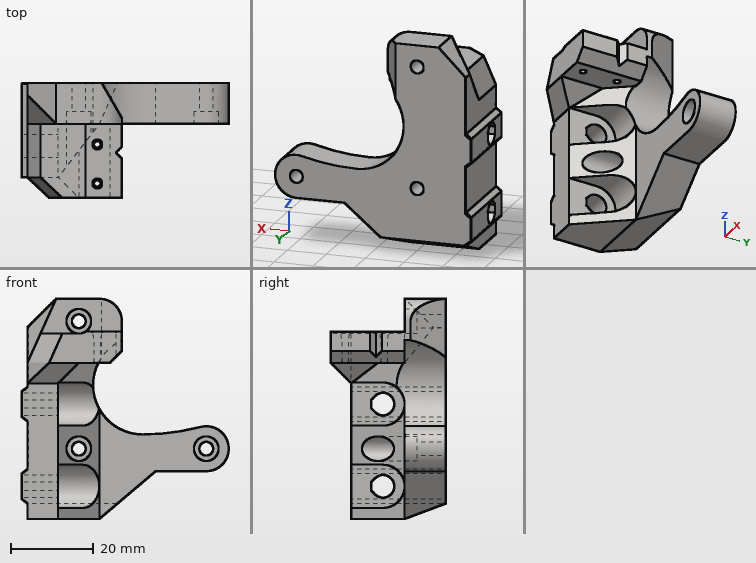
import cadquery as cq
import math


HOLE_PITCH = 31.0
MOUNT_HOLES = [(0, 0), (HOLE_PITCH, 0), (0, HOLE_PITCH)]
MOUNT_HOLE_DIA = 3.3
COUNTERBORE_DIA = 6.0
COUNTERBORE_DEPTH = 3.0
PLATE_THICKNESS = 10.0
LUG_RADIUS = 5.5
OPENING_RADIUS = 12.0
OPENING_CENTER = HOLE_PITCH / 2
BOTTOM_Z = -17.1
LEFT_X = -12.5
TOP_Z = HOLE_PITCH + LUG_RADIUS
TOP_RIGHT_X = 10.5
CORNER_CHAMFER = 7.0
BRACE_RIGHT_X = 5.0
ARM_BOTTOM_X = 18.7
BACK_CORNER_CUT_X = 5.55
BACK_CORNER_CUT_ANGLE = 30.0

COLUMN_RIGHT_X = -5.0
COLUMN_FRONT_Y = -23.0
RAIL_HEIGHT = 1.4
RAIL_BASE_HALF = 4.2
RAIL_TOP_HALF = 3.1
RAIL_PITCH = 20.0
UPPER_RAIL_Z = 10.85
RAIL_CENTERS = [UPPER_RAIL_Z, UPPER_RAIL_Z - RAIL_PITCH]
BACK_EDGE_CHAMFER = 0.25

BOLT_Y = -15.28
BOLT_DIA = 5.45
BOLT_ROOF_HEIGHT = 2.85
HEAD_DIA = 10.5

SHELF_FRONT_Y = -28.0
SHELF_BOTTOM_Z = 20.9
SHELF_LEFT_TOP_Z = HOLE_PITCH - COUNTERBORE_DIA / 2
SHELF_RIGHT_TOP_Z = 28.5
SHELF_END_CHAMFER = 2.9
SHELF_CORNER_X = -7.2
NOTCH_Y = -17.0
NOTCH_DEPTH = 1.45
SCREW_X = 4.5
SCREW_YS = [-15.0, -24.5]
SCREW_TOP_DIA = 2.4
SCREW_PILOT_DIA = 1.6
SCREW_TAPER_DEPTH = 2.0

OVERCUT = 1.0


def extrude_xz(outline, y_back, y_front):
    """Extrude a closed XZ outline from y_back to y_front (y_front is the smaller)."""
    return outline.extrude(y_back - y_front).translate((0, y_back, 0))


def plate():
    rise = OPENING_CENTER - OPENING_RADIUS
    run = HOLE_PITCH - OPENING_CENTER
    arm_radius = (run**2 + rise**2 - LUG_RADIUS**2) / (2 * (LUG_RADIUS - rise))
    arm_center_z = rise + arm_radius
    lean = math.atan2(run, arm_center_z)

    def on_arm(angle):
        return (OPENING_CENTER + arm_radius * math.sin(angle), arm_center_z - arm_radius * math.cos(angle))

    outline = (
        cq.Workplane("XZ")
        .moveTo(LEFT_X, BOTTOM_Z)
        .lineTo(BRACE_RIGHT_X, BOTTOM_Z)
        .lineTo(ARM_BOTTOM_X, -LUG_RADIUS)
        .lineTo(HOLE_PITCH, -LUG_RADIUS)
        .threePointArc((HOLE_PITCH + LUG_RADIUS, 0), on_arm(lean))
        .threePointArc(on_arm(lean / 2), on_arm(0))
        .lineTo(OPENING_CENTER, OPENING_CENTER)
        .lineTo(TOP_RIGHT_X, OPENING_CENTER)
        .lineTo(TOP_RIGHT_X, HOLE_PITCH)
        .radiusArc((TOP_RIGHT_X - LUG_RADIUS, TOP_Z), -LUG_RADIUS)
        .lineTo(LEFT_X + CORNER_CHAMFER, TOP_Z)
        .lineTo(LEFT_X, TOP_Z - CORNER_CHAMFER)
        .close()
    )
    return extrude_xz(outline, 0, -PLATE_THICKNESS)


def column():
    """Upright block with two trapezoidal rails on its left face."""
    body = cq.Workplane("XZ").moveTo(COLUMN_RIGHT_X, BOTTOM_Z).lineTo(LEFT_X, BOTTOM_Z)
    for z in reversed(RAIL_CENTERS):
        body = (
            body.lineTo(LEFT_X, z - RAIL_BASE_HALF)
            .lineTo(LEFT_X - RAIL_HEIGHT, z - RAIL_TOP_HALF)
            .lineTo(LEFT_X - RAIL_HEIGHT, z + RAIL_TOP_HALF)
            .lineTo(LEFT_X, z + RAIL_BASE_HALF)
        )
    body = body.lineTo(LEFT_X, SHELF_BOTTOM_Z).lineTo(COLUMN_RIGHT_X, SHELF_BOTTOM_Z).close()
    return extrude_xz(body, 0, COLUMN_FRONT_Y)


def corner_chamfer_profile(x_shift):
    """Plan of the shelf at one height; the slanted left side moves it by x_shift."""
    return [
        (LEFT_X + x_shift, 0),
        (LEFT_X + x_shift, COLUMN_FRONT_Y),
        (SHELF_CORNER_X + x_shift, SHELF_FRONT_Y),
        (TOP_RIGHT_X + CORNER_CHAMFER, SHELF_FRONT_Y),
        (TOP_RIGHT_X + CORNER_CHAMFER, 0),
    ]


def left_side_envelope():
    """Space right of the slanted left side and its slanted front corner."""
    height = TOP_Z - SHELF_BOTTOM_Z
    lower = cq.Workplane("XY").workplane(offset=SHELF_BOTTOM_Z).polyline(corner_chamfer_profile(0)).close()
    upper = lower.workplane(offset=height).polyline(corner_chamfer_profile(CORNER_CHAMFER)).close()
    return upper.loft(ruled=True, combine=True)


def shelf():
    outline = (
        cq.Workplane("XZ")
        .moveTo(LEFT_X, SHELF_BOTTOM_Z)
        .lineTo(TOP_RIGHT_X - SHELF_END_CHAMFER, SHELF_BOTTOM_Z)
        .lineTo(TOP_RIGHT_X, SHELF_BOTTOM_Z + SHELF_END_CHAMFER)
        .lineTo(TOP_RIGHT_X, SHELF_RIGHT_TOP_Z)
        .lineTo(0, SHELF_RIGHT_TOP_Z)
        .lineTo(0, SHELF_LEFT_TOP_Z)
        .lineTo(LEFT_X, SHELF_LEFT_TOP_Z)
        .close()
    )
    return extrude_xz(outline, -PLATE_THICKNESS, SHELF_FRONT_Y).intersect(left_side_envelope())


def brace():
    """Wedge between the column's front corner and the plate."""
    plan = [
        (COLUMN_RIGHT_X, -PLATE_THICKNESS),
        (COLUMN_RIGHT_X, COLUMN_FRONT_Y),
        (BRACE_RIGHT_X, -PLATE_THICKNESS),
    ]
    base = cq.Workplane("XY", origin=(0, 0, BOTTOM_Z))
    return base.polyline(plan).close().extrude(SHELF_BOTTOM_Z - BOTTOM_Z)


def opening():
    """Round opening that shapes the inner edge of the plate and of the brace."""
    circle = cq.Workplane("XZ").center(OPENING_CENTER, OPENING_CENTER).circle(OPENING_RADIUS)
    return extrude_xz(circle, 0, COLUMN_FRONT_Y)


def gusset():
    """Support under the shelf, spreading at 45 degrees to the front and to the right."""
    height = COLUMN_FRONT_Y - SHELF_FRONT_Y
    right_x = COLUMN_RIGHT_X + height
    low_z = SHELF_BOTTOM_Z - height
    side = [
        (LEFT_X, low_z),
        (COLUMN_RIGHT_X, low_z),
        (right_x, SHELF_BOTTOM_Z),
        (LEFT_X, SHELF_BOTTOM_Z),
    ]
    end = [
        (-PLATE_THICKNESS, low_z),
        (COLUMN_FRONT_Y, low_z),
        (SHELF_FRONT_Y, SHELF_BOTTOM_Z),
        (-PLATE_THICKNESS, SHELF_BOTTOM_Z),
    ]
    plan = corner_chamfer_profile(0)
    body = extrude_xz(cq.Workplane("XZ").polyline(side).close(), -PLATE_THICKNESS, SHELF_FRONT_Y)
    across = cq.Workplane("YZ", origin=(LEFT_X, 0, 0)).polyline(end).close().extrude(right_x - LEFT_X)
    corner = cq.Workplane("XY", origin=(0, 0, low_z)).polyline(plan).close().extrude(height)
    return body.intersect(across).intersect(corner)


def left_corner_cut():
    """Tetrahedral cut that runs the slanted left side of the shelf up into the plate corner."""
    a = cq.Vector(LEFT_X, -PLATE_THICKNESS, SHELF_BOTTOM_Z)
    b = cq.Vector(LEFT_X + CORNER_CHAMFER, -PLATE_THICKNESS, TOP_Z)
    c = cq.Vector(LEFT_X, CORNER_CHAMFER - PLATE_THICKNESS, TOP_Z - CORNER_CHAMFER)
    d = cq.Vector(LEFT_X, -PLATE_THICKNESS, TOP_Z)
    faces = []
    for triangle in ((a, b, c), (a, b, d), (a, c, d), (b, c, d)):
        faces.append(cq.Face.makeFromWires(cq.Wire.makePolygon(list(triangle), close=True)))
    return cq.Workplane(cq.Solid.makeSolid(cq.Shell.makeShell(faces)))


def bottom_bevel():
    """Slope across the bottom of the plate, rising toward its back face."""
    profile = [
        (-PLATE_THICKNESS, BOTTOM_Z),
        (0, min(RAIL_CENTERS) - RAIL_BASE_HALF),
        (0, BOTTOM_Z),
    ]
    start_x = LEFT_X - RAIL_HEIGHT
    return cq.Workplane("YZ", origin=(start_x, 0, 0)).polyline(profile).close().extrude(HOLE_PITCH)


def back_corner_cut():
    """Vertical slanted cut at the back of the upper right corner, above the opening's middle."""
    reach = PLATE_THICKNESS * math.tan(math.radians(BACK_CORNER_CUT_ANGLE))
    plan = [
        (BACK_CORNER_CUT_X, 0),
        (BACK_CORNER_CUT_X + reach, -PLATE_THICKNESS),
        (BACK_CORNER_CUT_X + reach, 0),
    ]
    base = cq.Workplane("XY", origin=(0, 0, OPENING_CENTER))
    return base.polyline(plan).close().extrude(TOP_Z - OPENING_CENTER)


def mount_holes():
    """Through holes; the counterbores run out to the front and leave a groove in the shelf top."""
    spots = cq.Workplane("XZ").pushPoints(MOUNT_HOLES)
    through = extrude_xz(spots.circle(MOUNT_HOLE_DIA / 2), 0, -PLATE_THICKNESS)
    floor_y = COUNTERBORE_DEPTH - PLATE_THICKNESS
    bores = extrude_xz(spots.circle(COUNTERBORE_DIA / 2), floor_y, SHELF_FRONT_Y)
    return through.union(bores)


def bolt_hole(z):
    """Teardrop hole along X, its 45-degree roof cut off flat toward -Y."""
    radius = BOLT_DIA / 2
    tangent = radius * math.sqrt(0.5)
    flat_half = 2 * tangent - BOLT_ROOF_HEIGHT
    start_x = LEFT_X - RAIL_HEIGHT
    length = COLUMN_RIGHT_X - start_x
    outline = (
        cq.Workplane("YZ", origin=(start_x, BOLT_Y, z))
        .moveTo(-tangent, tangent)
        .threePointArc((radius, 0), (-tangent, -tangent))
        .lineTo(-BOLT_ROOF_HEIGHT, -flat_half)
        .lineTo(-BOLT_ROOF_HEIGHT, flat_half)
        .close()
    )
    return outline.extrude(length)


def bolt_head_recess(z):
    """U-shaped recess for a bolt head, along X through the brace and open to the front."""
    radius = HEAD_DIA / 2
    outline = (
        cq.Workplane("YZ", origin=(COLUMN_RIGHT_X, BOLT_Y, z))
        .moveTo(0, -radius)
        .threePointArc((radius, 0), (0, radius))
        .lineTo(COLUMN_FRONT_Y - BOLT_Y, radius)
        .lineTo(COLUMN_FRONT_Y - BOLT_Y, -radius)
        .close()
    )
    return outline.extrude(BRACE_RIGHT_X - COLUMN_RIGHT_X)


def screw_hole(y):
    """Vertical pilot hole through the shelf with a tapered lead-in."""
    taper_end_z = SHELF_RIGHT_TOP_Z - SCREW_TAPER_DEPTH
    profile = [
        (0, SHELF_BOTTOM_Z - OVERCUT),
        (SCREW_PILOT_DIA / 2, SHELF_BOTTOM_Z - OVERCUT),
        (SCREW_PILOT_DIA / 2, taper_end_z),
        (SCREW_TOP_DIA / 2, SHELF_RIGHT_TOP_Z),
        (0, SHELF_RIGHT_TOP_Z),
    ]
    return cq.Workplane("XZ").polyline(profile).close().revolve(360, (0, 0), (0, 1)).translate((SCREW_X, y, 0))


def end_notch():
    """Vertical V-notch in the right end of the shelf."""
    plan = [
        (TOP_RIGHT_X, NOTCH_Y - NOTCH_DEPTH),
        (TOP_RIGHT_X - NOTCH_DEPTH, NOTCH_Y),
        (TOP_RIGHT_X, NOTCH_Y + NOTCH_DEPTH),
    ]
    base = cq.Workplane("XY", origin=(0, 0, SHELF_BOTTOM_Z))
    return base.polyline(plan).close().extrude(SHELF_RIGHT_TOP_Z - SHELF_BOTTOM_Z)


body = plate().union(column()).union(brace()).cut(opening())
body = body.union(gusset()).cut(left_corner_cut()).union(shelf())
body = body.cut(bottom_bevel()).cut(back_corner_cut()).cut(mount_holes()).cut(end_notch())
for rail_z in RAIL_CENTERS:
    body = body.cut(bolt_hole(rail_z)).cut(bolt_head_recess(rail_z))
for screw_y in SCREW_YS:
    body = body.cut(screw_hole(screw_y))

edge_zone = cq.selectors.BoxSelector(
    (LEFT_X - RAIL_HEIGHT - OVERCUT, -BACK_EDGE_CHAMFER, BOTTOM_Z),
    (LEFT_X + BACK_EDGE_CHAMFER, BACK_EDGE_CHAMFER, TOP_Z - CORNER_CHAMFER),
)
body = body.edges(edge_zone).chamfer(BACK_EDGE_CHAMFER)

result = body